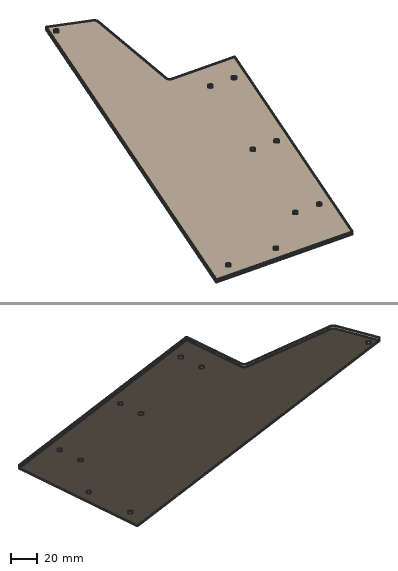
import cadquery as cq
import math

length = 294.8
width = 115.0
thickness = 3.0

step_x = 90.8
tail_width = 37.5
slant = math.radians(15)
outer_radius = 4.5
inner_radius = 3.5

hole_diameter = 3.5
edge_margin = 10.0
upper_columns = 3
upper_first_x = 110.3
upper_pitch_x = 73.7
upper_pitch_y = 20.0
side_first_y = 15.0
side_pitch = 40.0
tail_hole = (7.0, 5.0)

tail_corner = (tail_width * math.tan(slant), tail_width)
step_corner = (step_x, tail_width + (step_x - tail_corner[0]) * math.tan(slant))


def round_corner(body, corner, radius):
    """Fillet the vertical edge that passes through the given plan position."""
    nearest = cq.selectors.NearestToPointSelector((*corner, thickness / 2))
    return body.edges("|Z").edges(nearest).fillet(radius)


outline = [
    (0, 0),
    (length, 0),
    (length, width),
    (step_x, width),
    step_corner,
    tail_corner,
]
plate = cq.Workplane("XY").polyline(outline).close().extrude(thickness)
plate = round_corner(plate, tail_corner, outer_radius)
plate = round_corner(plate, step_corner, inner_radius)

upper_y = width - edge_margin
hole_centres = [tail_hole]
for column in range(upper_columns):
    x = upper_first_x + column * upper_pitch_x
    hole_centres += [(x, upper_y), (x, upper_y - upper_pitch_y)]
for y in (side_first_y, side_first_y + side_pitch):
    hole_centres.append((length - edge_margin, y))

holes = cq.Workplane("XY").pushPoints(hole_centres).circle(hole_diameter / 2).extrude(thickness)

result = plate.cut(holes)